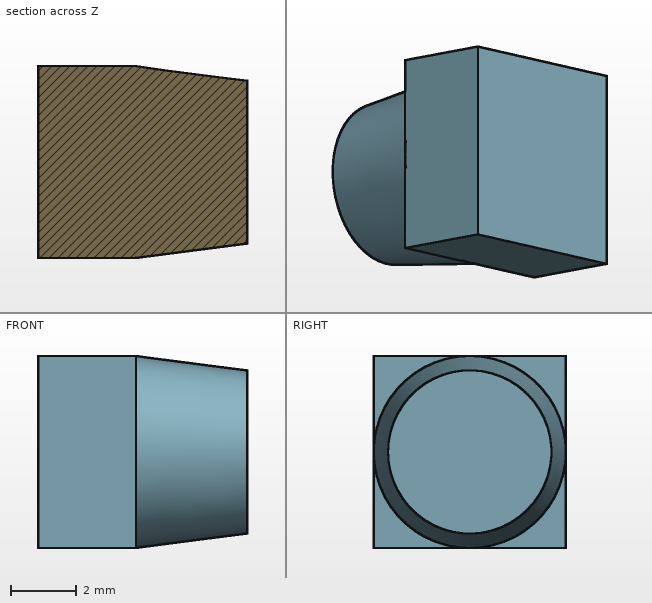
import cadquery as cq

block_side = 5.88
block_length = 3.0
overall_length = 6.4
tip_diameter = 5.0

root_radius = block_side / 2
tip_radius = tip_diameter / 2


def make_block():
    """Square block, centred on the X axis and starting at X = 0."""
    return cq.Workplane("YZ").rect(block_side, block_side).extrude(block_length)


def make_plug():
    """Round plug tapering from the block face to its smaller free end."""
    half_profile = (
        cq.Workplane("XY")
        .moveTo(block_length, 0)
        .lineTo(block_length, -root_radius)
        .lineTo(overall_length, -tip_radius)
        .lineTo(overall_length, 0)
        .close()
    )
    return half_profile.revolve(360, (0, 0, 0), (1, 0, 0))


result = make_block().union(make_plug())